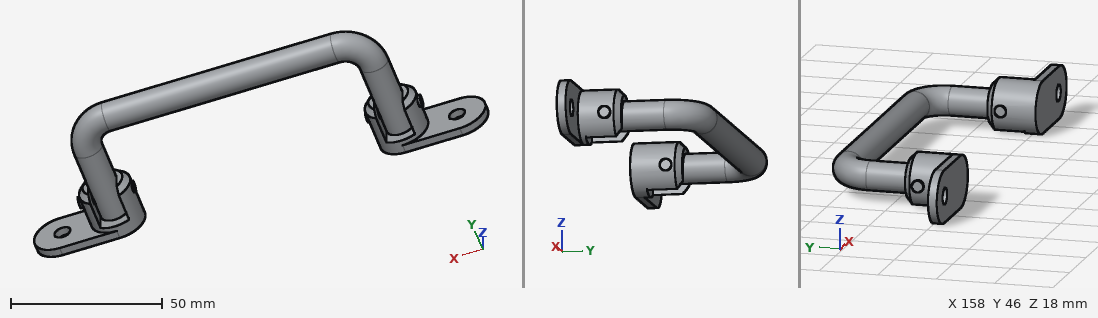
import cadquery as cq

OVERALL_LENGTH = 158.0
OVERALL_HEIGHT = 46.0
LEG_SPACING = 100.0

SOCKET_DIAMETER = 18.0
SOCKET_HEIGHT = 17.0
SOCKET_CHAMFER = 2.0
PLATE_THICKNESS = 3.0
SCREW_HOLE_DIAMETER = 5.5
SCREW_HOLE_END_DISTANCE = 10.0
SLOT_FLOOR = 4.9

ROD_DIAMETER = 10.0
BEND_RADIUS = 10.0

PIN_DIAMETER = 4.0
PIN_HEIGHT = 12.0
PIN_OUTER_REACH = 9.8
PIN_INNER_REACH = 9.3

SOCKET_RADIUS = SOCKET_DIAMETER / 2
ROD_RADIUS = ROD_DIAMETER / 2
LEG_X = LEG_SPACING / 2
PLATE_END_X = OVERALL_LENGTH / 2 - SOCKET_RADIUS
SCREW_X = OVERALL_LENGTH / 2 - SCREW_HOLE_END_DISTANCE
GRIP_Y = OVERALL_HEIGHT - ROD_RADIUS


def cylinder_along_y(x, start_y, end_y, diameter):
    """Round bar parallel to Y, centred on Z = 0."""
    base = cq.Workplane("XZ", origin=(x, start_y, 0))
    return base.circle(diameter / 2).extrude(start_y - end_y)


def make_pin(side):
    """Hinge pin through socket and leg, reaching further on the outer side."""
    inner_x = side * (LEG_X - PIN_INNER_REACH)
    pin_length = PIN_INNER_REACH + PIN_OUTER_REACH
    start = cq.Workplane("YZ", origin=(inner_x, PIN_HEIGHT, 0))
    return start.circle(PIN_DIAMETER / 2).extrude(side * pin_length)


def make_plate(side):
    """Mounting plate with a rounded outer end, running out from the socket axis."""
    span = PLATE_END_X - LEG_X
    middle_x = side * (LEG_X + PLATE_END_X) / 2
    bar = cq.Workplane("XY").box(span, PLATE_THICKNESS, SOCKET_DIAMETER)
    bar = bar.translate((middle_x, PLATE_THICKNESS / 2, 0))
    rounded_end = cylinder_along_y(side * PLATE_END_X, 0, PLATE_THICKNESS, SOCKET_DIAMETER)
    screw_hole = cylinder_along_y(side * SCREW_X, 0, PLATE_THICKNESS, SCREW_HOLE_DIAMETER)
    return bar.union(rounded_end).cut(screw_hole)


def make_slot(side):
    """U-shaped space for the leg, open at the top of the socket and toward -Z."""
    slot_depth = SOCKET_HEIGHT - SLOT_FLOOR
    bore = cylinder_along_y(side * LEG_X, SLOT_FLOOR, SOCKET_HEIGHT, ROD_DIAMETER)
    opening = cq.Workplane("XY").box(ROD_DIAMETER, slot_depth, SOCKET_RADIUS)
    opening = opening.translate((side * LEG_X, SLOT_FLOOR + slot_depth / 2, -SOCKET_RADIUS / 2))
    return bore.union(opening)


def make_bracket(side):
    """Plate and chamfered socket in one piece, slotted for the leg and bored for the pin."""
    socket = cylinder_along_y(side * LEG_X, 0, SOCKET_HEIGHT, SOCKET_DIAMETER)
    socket = socket.faces(">Y").chamfer(SOCKET_CHAMFER)
    bracket = socket.union(make_plate(side), clean=False)
    return bracket.cut(make_slot(side)).cut(make_pin(side))


def make_handle():
    """Round bar bent into a U, its legs standing on the slot floors."""
    bend_start_y = GRIP_Y - BEND_RADIUS
    grip_end_x = LEG_X - BEND_RADIUS
    path = (
        cq.Workplane("XY")
        .moveTo(-LEG_X, SLOT_FLOOR)
        .lineTo(-LEG_X, bend_start_y)
        .tangentArcPoint((-grip_end_x, GRIP_Y), relative=False)
        .lineTo(grip_end_x, GRIP_Y)
        .tangentArcPoint((LEG_X, bend_start_y), relative=False)
        .lineTo(LEG_X, SLOT_FLOOR)
    )
    profile = cq.Workplane("XZ", origin=(-LEG_X, SLOT_FLOOR, 0)).circle(ROD_RADIUS)
    return profile.sweep(path)


SIDES = (-1, 1)
pins = [make_pin(side) for side in SIDES]
brackets = [make_bracket(side) for side in SIDES]

handle = make_handle()
for pin in pins:
    handle = handle.cut(pin)

result = cq.Compound.makeCompound(
    [handle.solids().val()]
    + [bracket.solids().val() for bracket in brackets]
    + [pin.val() for pin in pins]
)